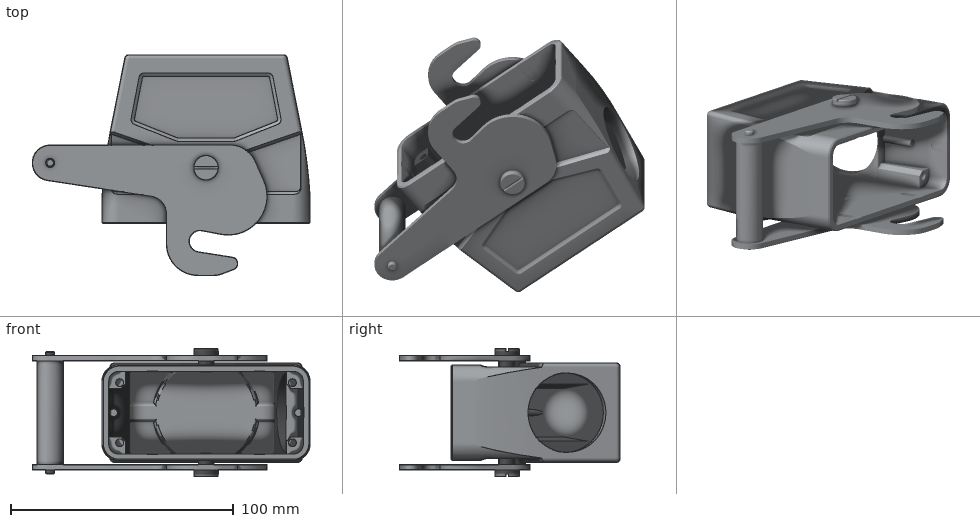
import cadquery as cq
import math


HOOD_DEPTH = 75.8
RIM_HALF_X = 46.75
RIM_HALF_Z = 21.5
RIM_CORNER_R = 7.6
RIM_CHAMFER = 0.6
STRAIGHT_DEPTH = 11.0
SHOULDER_HALF_X = 43.2
SHOULDER_Y = 40.4
BACK_HALF_X = 36.2
BODY_HALF_Z = 22.35
BODY_EDGE_R = 2.0
BACK_EDGE_R = 1.8

STEP_FLAT_HALF_X = 12.5
STEP_FLAT_Y = 29.8
STEP_RUN = 1.3
FLANK_HALF_Z = 20.3
FLANK_HALF_X = 42.4
FLANK_BOTTOM_Y = 14.4
FLANK_CORNER_R = 2.0

PANEL_DEPTH = 1.0
PANEL_WALL_RUN = 1.5
PANEL_CORNER_R = 2.5
PANEL_TOP_Y, PANEL_TOP_HALF_X = 67.7, 29.7
PANEL_SIDE_Y, PANEL_SIDE_HALF_X = 45.3, 34.0
PANEL_LOW_Y, PANEL_LOW_HALF_X = 37.0, 13.0

BACK_WALL = 3.0
CAVITY_DEPTH = HOOD_DEPTH - BACK_WALL
CAVITY_HALF_X = 43.7
CAVITY_HALF_Z = 18.5
CAVITY_CORNER_R = 4.5
CAVITY_KINK_HALF_X, CAVITY_KINK_Y = 41.7, 30.0
CAVITY_BACK_HALF_X = 34.2
FLOOR_STEP = 1.5
FLOOR_DISC_R = 22.6
FLOOR_STRIP_HALF_Z = 3.1
FLOOR_STEP_DRAFT = 38
FLOOR_STEP_TOP_R = 0.8
FLOOR_CORNER_R = 0.5

BOSS_FACE_Y = 9.6
BOSS_INNER_X = 36.2
BOSS_INNER_Z = 10.8
BOSS_BEVEL = 2.0
SCREW_X, SCREW_Z = 38.8, 13.5
SCREW_D = 3.5
SCREW_DEPTH = 12.0

ENTRY_D = 35.6
ENTRY_Y = 51.0
ENTRY_HALF_LENGTH = 9.0
PAD_FRONT_Y = 32.5
PAD_INNER_X = 36.0
PAD_BACK_X = 30.6
PAD_EDGE_R = 0.7

GUIDE_D = 4.5
GUIDE_DEPTH = 0.2
GUIDE_X = 24.0
GUIDE_END_Y = 10.9
SIDE_GUIDE_END_Y = 8.7
POST_D = 3.5
POST_X = 41.5
POST_FACE_Y = 17.5
POST_END_Y = 45.0

LEVER_INNER_Z = 23.3
LEVER_THICKNESS = 2.4
LEVER_OUTER_Z = LEVER_INNER_Z + LEVER_THICKNESS
PIVOT_Y = 25.1
PIVOT_D = 7.0
PIVOT_TIP_D = 4.5
PIVOT_TIP_PROUD = 0.3
HEAD_D = 11.0
HEAD_TOP_Z = 28.725
HEAD_EDGE_R = 0.4
DRIVE_SLOT_W = 1.2
DRIVE_SLOT_DEPTH = 1.2
LEVER_TOP_Y = 35.3
LEVER_END_R = 8.0
HANDLE_X = -70.0
HANDLE_Y = LEVER_TOP_Y - LEVER_END_R
HANDLE_D = 12.0
HANDLE_PIN_D = 4.01
HANDLE_PIN_HALF_Z = 27.5
HANDLE_PIN_CHAMFER = 0.5
SHOULDER_R = 12.0
HOOK_X, HOOK_Y, HOOK_R = -3.6, -9.06, 14.2
TOE_X, TOE_R = 3.5, 10.0
ARMPIT_R = 8.0

LEVER_BELT = [
    ((HANDLE_X, HANDLE_Y), LEVER_END_R, 1),
    ((11.0, LEVER_TOP_Y - SHOULDER_R), SHOULDER_R, 1),
    ((9.95, 12.3), 17.4, 1),
    ((-2.7, -7.9), 4.8, -1),
    ((11.3, -17.9), 2.9, 1),
    ((TOE_X, HOOK_Y - HOOK_R + TOE_R), TOE_R, 1),
    ((HOOK_X, HOOK_Y), HOOK_R, 1),
    ((HOOK_X - HOOK_R - ARMPIT_R, 4.4), ARMPIT_R, -1),
]


def mirrored_outline(half_points):
    """Closed polyline from its +X half, listed from one end of the X = 0 axis to the other."""
    other_half = [(-x, y) for x, y in reversed(half_points)]
    return cq.Workplane("XY").polyline(half_points + other_half).close()


def slab(outline, half_z):
    """Extrude a plan outline evenly to both sides of Z = 0."""
    return outline.extrude(half_z, both=True)


def rounded_prism(half_x, half_z, corner_r, depth):
    """Bar with rounded corners running along +Y from the rim."""
    bar = cq.Workplane("XZ").rect(2 * half_x, 2 * half_z).extrude(-depth)
    return bar.edges("|Y").fillet(corner_r)


def both_sides(solid):
    """A feature together with its mirror image below Z = 0."""
    return solid.union(solid.mirror("XY"))


def lower_body():
    """Round-cornered skirt from the rim to the shoulder, with recessed flanks."""
    half_plan = (
        cq.Workplane("XY")
        .moveTo(0, HOOD_DEPTH)
        .lineTo(BACK_HALF_X, HOOD_DEPTH)
        .lineTo(SHOULDER_HALF_X, SHOULDER_Y)
        .tangentArcPoint((RIM_HALF_X, STRAIGHT_DEPTH), relative=False)
        .lineTo(RIM_HALF_X, 0)
        .lineTo(0, 0)
        .close()
    )
    half_slab = slab(half_plan, BODY_HALF_Z)
    prism = rounded_prism(RIM_HALF_X, RIM_HALF_Z, RIM_CORNER_R, SHOULDER_Y)
    prism = prism.faces("<Y").chamfer(RIM_CHAMFER)
    body = prism.intersect(half_slab.union(half_slab.mirror("YZ")))
    return body.cut(both_sides(flank_recess()))


def flank_recess():
    """Cutter for the sunken flank, widening at 45 degrees towards the outside."""
    flank_top_y = SHOULDER_Y + FLANK_CORNER_R
    return (
        cq.Workplane("XY")
        .workplane(offset=FLANK_HALF_Z)
        .center(0, (FLANK_BOTTOM_Y + flank_top_y) / 2)
        .sketch()
        .rect(2 * FLANK_HALF_X, flank_top_y - FLANK_BOTTOM_Y)
        .vertices()
        .fillet(FLANK_CORNER_R)
        .finalize()
        .extrude(BODY_HALF_Z - FLANK_HALF_Z, taper=-45)
    )


def upper_body():
    """Tapered block behind the V-shaped step, with bevelled step and rounded edges."""
    plan = mirrored_outline([
        (STEP_FLAT_HALF_X, STEP_FLAT_Y),
        (SHOULDER_HALF_X, SHOULDER_Y),
        (BACK_HALF_X, HOOD_DEPTH),
    ])
    block = slab(plan, BODY_HALF_Z)
    side_edge_y = (SHOULDER_Y + HOOD_DEPTH) / 2
    side_edges = cq.selectors.BoxSelector(
        (-RIM_HALF_X, side_edge_y - BODY_EDGE_R, -RIM_HALF_X),
        (RIM_HALF_X, side_edge_y + BODY_EDGE_R, RIM_HALF_X),
    )
    block = block.edges(side_edges).fillet(BODY_EDGE_R)
    block = block.faces(">Y").edges().fillet(BACK_EDGE_R)
    return block.cut(both_sides(step_bevel()))


def step_bevel():
    """Wedge that slopes the step from the body face down to the flank."""
    drop = BODY_HALF_Z - FLANK_HALF_Z
    slope = (SHOULDER_Y - STEP_FLAT_Y) / (SHOULDER_HALF_X - STEP_FLAT_HALF_X)
    reach_x = RIM_HALF_X
    reach_y = STEP_FLAT_Y + slope * (reach_x - STEP_FLAT_HALF_X)
    below = mirrored_outline([
        (0, 0),
        (reach_x, 0),
        (reach_x, reach_y),
        (STEP_FLAT_HALF_X, STEP_FLAT_Y),
    ])
    angle = math.degrees(math.atan2(STEP_RUN, drop))
    return below.extrude(drop, taper=-angle).translate((0, 0, FLANK_HALF_Z))


def label_panel():
    """Cutter for the sunken panel with sloping walls on the body face."""
    outline = mirrored_outline([
        (PANEL_LOW_HALF_X, PANEL_LOW_Y),
        (PANEL_SIDE_HALF_X, PANEL_SIDE_Y),
        (PANEL_TOP_HALF_X, PANEL_TOP_Y),
    ])
    prism = outline.extrude(-PANEL_DEPTH).edges("|Z").fillet(PANEL_CORNER_R)
    wall_angle = math.degrees(math.atan2(PANEL_WALL_RUN, PANEL_DEPTH))
    cutter = prism.faces(">Z").wires().toPending().extrude(-PANEL_DEPTH, combine=False, taper=wall_angle)
    return cutter.translate((0, 0, BODY_HALF_Z))


def cavity():
    """Inside space of the hood, before the bosses and the entry pad are left standing."""
    plan = mirrored_outline([
        (CAVITY_HALF_X, 0),
        (CAVITY_HALF_X, STRAIGHT_DEPTH),
        (CAVITY_KINK_HALF_X, CAVITY_KINK_Y),
        (CAVITY_BACK_HALF_X, CAVITY_DEPTH),
    ])
    prism = rounded_prism(CAVITY_HALF_X, CAVITY_HALF_Z, CAVITY_CORNER_R, CAVITY_DEPTH)
    return prism.intersect(slab(plan, CAVITY_HALF_Z))


def floor_plateau():
    """Raised disc and cross strip on the back wall, with drafted sides and rounded top edges."""
    start = cq.Workplane("XZ", origin=(0, CAVITY_DEPTH - FLOOR_STEP, 0))
    disc = start.circle(FLOOR_DISC_R).extrude(-FLOOR_STEP, taper=-FLOOR_STEP_DRAFT)
    strip = start.rect(2 * CAVITY_HALF_X, 2 * FLOOR_STRIP_HALF_Z)
    strip = strip.extrude(-FLOOR_STEP, taper=-FLOOR_STEP_DRAFT)
    disc = disc.faces("<Y").edges().fillet(FLOOR_STEP_TOP_R)
    strip = strip.faces("<Y").edges("|X").fillet(FLOOR_STEP_TOP_R)
    return disc.union(strip)


def screw_bosses():
    """Four bevelled corner posts running back from behind the rim."""
    length = CAVITY_DEPTH - BOSS_FACE_Y
    posts = cq.Workplane("XY")
    for side_x in (-1, 1):
        for side_z in (-1, 1):
            profile = [
                (BOSS_INNER_X, RIM_HALF_Z),
                (BOSS_INNER_X, BOSS_INNER_Z + BOSS_BEVEL),
                (BOSS_INNER_X + BOSS_BEVEL, BOSS_INNER_Z),
                (RIM_HALF_X, BOSS_INNER_Z),
                (RIM_HALF_X, RIM_HALF_Z),
            ]
            placed = [(side_x * x, side_z * z) for x, z in profile]
            post = cq.Workplane("XZ", origin=(0, BOSS_FACE_Y, 0)).polyline(placed).close()
            posts = posts.union(post.extrude(-length))
    return posts


def screw_holes():
    """Blind screw holes in the boss faces."""
    return (
        cq.Workplane("XZ", origin=(0, BOSS_FACE_Y, 0))
        .rect(2 * SCREW_X, 2 * SCREW_Z, forConstruction=True)
        .vertices()
        .circle(SCREW_D / 2)
        .extrude(-SCREW_DEPTH)
    )


def entry_pad():
    """Thickened +X wall that carries the cable entry."""
    plan = (
        cq.Workplane("XY")
        .moveTo(RIM_HALF_X, PAD_FRONT_Y)
        .lineTo(PAD_INNER_X, PAD_FRONT_Y)
        .lineTo(PAD_INNER_X, ENTRY_Y)
        .lineTo(PAD_BACK_X, CAVITY_DEPTH)
        .lineTo(RIM_HALF_X, CAVITY_DEPTH)
        .close()
    )
    front_edge = cq.selectors.NearestToPointSelector((PAD_INNER_X, PAD_FRONT_Y, 0))
    return slab(plan, CAVITY_HALF_Z).edges(front_edge).fillet(PAD_EDGE_R)


def cable_entry():
    """Round bore square to the tapered +X wall."""
    run_y = HOOD_DEPTH - SHOULDER_Y
    run_x = SHOULDER_HALF_X - BACK_HALF_X
    plane = cq.Plane(origin=(PAD_INNER_X, ENTRY_Y, 0), xDir=(0, 0, 1), normal=(run_y, run_x, 0))
    return cq.Workplane(plane).circle(ENTRY_D / 2).extrude(ENTRY_HALF_LENGTH, both=True)


def guide_groove(plane, end_y):
    """Shallow groove cut outwards from a cavity wall, open at the rim and round at its far end."""
    return cq.Workplane(plane).slot2D(2 * end_y, GUIDE_D).extrude(GUIDE_DEPTH)


def guide_grooves():
    """Two grooves in each Z wall and one in each X wall."""
    grooves = cq.Workplane("XY")
    for side in (-1, 1):
        z_plane = cq.Plane(origin=(side * GUIDE_X, 0, CAVITY_HALF_Z), xDir=(0, 1, 0), normal=(0, 0, 1))
        x_plane = cq.Plane(origin=(side * CAVITY_HALF_X, 0, 0), xDir=(0, 1, 0), normal=(side, 0, 0))
        grooves = grooves.union(both_sides(guide_groove(z_plane, GUIDE_END_Y)))
        grooves = grooves.union(guide_groove(x_plane, SIDE_GUIDE_END_Y))
    return grooves


def wall_posts():
    """Half-round posts that stand on the X walls and sink into them further back."""
    return (
        cq.Workplane("XZ", origin=(0, POST_FACE_Y, 0))
        .pushPoints([(-POST_X, 0), (POST_X, 0)])
        .circle(POST_D / 2)
        .extrude(POST_FACE_Y - POST_END_Y)
    )


def hollow():
    """Space taken out of the hood: the cavity less everything that stands on its walls."""
    space = cavity().cut(entry_pad()).cut(floor_plateau())
    space = space.faces(">Y").edges().fillet(FLOOR_CORNER_R)
    return space.cut(screw_bosses()).cut(wall_posts())


def hood():
    """Complete hood shell."""
    shell = lower_body().union(upper_body())
    shell = shell.cut(both_sides(label_panel()))
    shell = shell.cut(hollow()).cut(guide_grooves()).cut(screw_holes())
    return shell.cut(cable_entry())


def belt_heading(start, end):
    """Heading of the straight run that leaves one belt circle and touches the next."""
    (x1, y1), r1, side1 = start
    (x2, y2), r2, side2 = end
    distance = math.hypot(x2 - x1, y2 - y1)
    return math.atan2(y2 - y1, x2 - x1) - math.asin((side1 * r1 - side2 * r2) / distance)


def belt_point(circle, heading):
    """Point of a belt circle where the outline travels along the heading."""
    (x, y), radius, side = circle
    return (x - side * radius * math.sin(heading), y + side * radius * math.cos(heading))


def lever():
    """Flat hooked lever on the +Z side."""
    count = len(LEVER_BELT)
    headings = [belt_heading(LEVER_BELT[i], LEVER_BELT[(i + 1) % count]) for i in range(count)]
    outline = cq.Workplane("XY", origin=(0, 0, LEVER_INNER_Z))
    outline = outline.moveTo(*belt_point(LEVER_BELT[0], headings[-1]))
    for i, circle in enumerate(LEVER_BELT):
        side = circle[2]
        arrive, leave = headings[i - 1], headings[i]
        turn = (side * (arrive - leave)) % (2 * math.pi)
        middle = arrive - side * turn / 2
        if i > 0:
            outline = outline.lineTo(*belt_point(circle, arrive))
        outline = outline.threePointArc(belt_point(circle, middle), belt_point(circle, leave))
    return outline.close().extrude(LEVER_THICKNESS)


def pivot():
    """Slotted pivot screw on the +Z side, with its tip just inside the cavity."""
    tip_z = CAVITY_HALF_Z - PIVOT_TIP_PROUD
    at_pivot = cq.Workplane("XY", origin=(0, PIVOT_Y, 0))
    tip = at_pivot.workplane(offset=tip_z).circle(PIVOT_TIP_D / 2).extrude(LEVER_INNER_Z - tip_z)
    neck = at_pivot.workplane(offset=FLANK_HALF_Z).circle(PIVOT_D / 2).extrude(LEVER_INNER_Z - FLANK_HALF_Z)
    head = at_pivot.workplane(offset=LEVER_OUTER_Z).circle(HEAD_D / 2).extrude(HEAD_TOP_Z - LEVER_OUTER_Z)
    head = head.faces(">Z").edges().fillet(HEAD_EDGE_R)
    slot = at_pivot.workplane(offset=HEAD_TOP_Z).rect(HEAD_D, DRIVE_SLOT_W).extrude(-DRIVE_SLOT_DEPTH)
    return tip.union(neck).union(head.cut(slot))


def handle():
    """Round grip between the levers and the thin pin whose ends stand outside them."""
    at_handle = cq.Workplane("XY", origin=(HANDLE_X, HANDLE_Y, 0))
    grip = at_handle.circle(HANDLE_D / 2).extrude(LEVER_INNER_Z, both=True)
    pin = at_handle.circle(HANDLE_PIN_D / 2).extrude(HANDLE_PIN_HALF_Z, both=True)
    return grip.union(pin.faces("|Z").chamfer(HANDLE_PIN_CHAMFER))


result = hood().union(both_sides(lever())).union(both_sides(pivot())).union(handle())